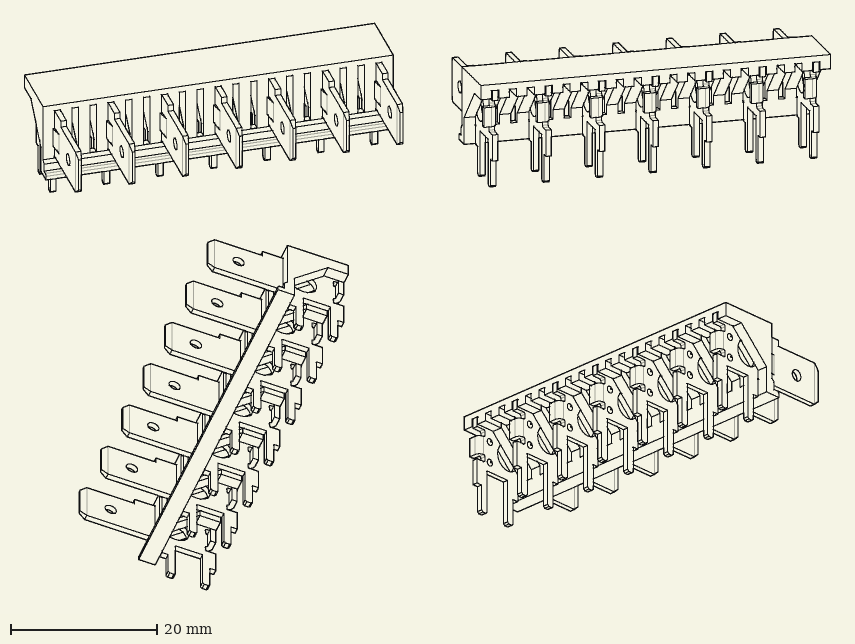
import cadquery as cq
import math


TERMINAL_COUNT = 7
SLOTS_PER_TERMINAL = 3
SLOT_PITCH = 2.55
TERMINAL_PITCH = SLOTS_PER_TERMINAL * SLOT_PITCH
SLOT_COUNT = SLOTS_PER_TERMINAL * (TERMINAL_COUNT - 1) + 1

HOUSING_LENGTH = 49.85
HOUSING_DEPTH = 9.0
TOP_Z = 15.0
HOUSING_BOTTOM_Z = 4.2
LIP_HEIGHT = 2.05
LIP_DEPTH = 3.05
WALL_INNER_X = 7.95
SLOPE_RUN = WALL_INNER_X - LIP_DEPTH

FOOT_CHAMFER = 0.45
FOOT_CHAMFER_TOP_Z = 6.65
FOOT_TIP_X = 10.4
FOOT_THICKNESS = 0.9
FOOT_RADIUS = 0.3

SLOT_WIDTH = 0.9
SLOT_TOP_Z = 14.1
SLOT_BOTTOM_Z = 6.7
SLOT_MOUTH_WIDTH = 1.05

PLATE_THICKNESS = 0.8
PLATE_BACK_Y = PLATE_THICKNESS / 2
PLATE_FRONT_Y = -PLATE_BACK_Y
PLATE_BOTTOM_Z = 4.05
WINDOW_DIAMETER = 4.0
WINDOW_X = 6.05

BLADE_END_X = 20.0
BLADE_CENTER_Z = 10.0
BLADE_WIDTH = 6.35
BLADE_TOP_Z = BLADE_CENTER_Z + BLADE_WIDTH / 2
BLADE_BOTTOM_Z = BLADE_CENTER_Z - BLADE_WIDTH / 2
SHOULDER_END_X = 12.0
TIP_LENGTH = 0.9
TIP_CORNER = 0.8
TIP_BEVEL = 0.2
BLADE_HOLE_DIAMETER = 1.65
BLADE_HOLE_X = 15.55

PIN_WIDTH = 1.1
PIN_START_XS = (0.9, 6.0)
CROTCH_Z = 6.6
PIN_CHAMFER = 0.25

NOTCH_DEPTH = 1.55
NOTCH_RADIUS = 0.25
NOTCH_HEIGHT = 1.05
TAB_BOTTOM_Z = 8.8
TAB_TOP_Z = 11.6
TAB_HEIGHT = TAB_TOP_Z - TAB_BOTTOM_Z
TAB_BEND_X = 1.25
TAB_REACH = 1.85

BUMP_X = 2.5
BUMP_ZS = (8.0, 11.15)
BUMP_RADIUS = 0.5
BUMP_CROWN_RADIUS = 0.1
BUMP_HEIGHT = 0.25

BARB_START_X = 9.15
BARB_END_X = 11.15
BARB_CENTER_Z = 10.0
BARB_START_WIDTH = 2.75
BARB_END_WIDTH = 3.05
BARB_HEIGHT = 0.3


def box_between(x0, x1, y0, y1, z0, z1):
    """Box given by its limits along each axis."""
    return cq.Workplane("XY").box(x1 - x0, y1 - y0, z1 - z0, centered=False).translate((x0, y0, z0))


def row_positions(count, pitch):
    """Y positions of a row centred on the origin."""
    return [(i - (count - 1) / 2) * pitch for i in range(count)]


def housing_body():
    """Angled bar with a lip, a 45 degree inner face, a wall and a foot."""
    lip_z = TOP_Z - LIP_HEIGHT
    foot_top_z = HOUSING_BOTTOM_Z + FOOT_THICKNESS
    step_x = HOUSING_DEPTH + FOOT_CHAMFER
    arc_offset = FOOT_RADIUS * (1 - math.sqrt(0.5))
    return (
        cq.Workplane("XZ")
        .moveTo(0, TOP_Z)
        .lineTo(HOUSING_DEPTH, TOP_Z)
        .lineTo(HOUSING_DEPTH, FOOT_CHAMFER_TOP_Z)
        .lineTo(step_x, FOOT_CHAMFER_TOP_Z - FOOT_CHAMFER)
        .lineTo(step_x, foot_top_z)
        .lineTo(FOOT_TIP_X - FOOT_RADIUS, foot_top_z)
        .threePointArc(
            (FOOT_TIP_X - arc_offset, foot_top_z - arc_offset),
            (FOOT_TIP_X, foot_top_z - FOOT_RADIUS),
        )
        .lineTo(FOOT_TIP_X, HOUSING_BOTTOM_Z)
        .lineTo(WALL_INNER_X, HOUSING_BOTTOM_Z)
        .lineTo(WALL_INNER_X, lip_z - SLOPE_RUN)
        .lineTo(LIP_DEPTH, lip_z)
        .lineTo(0, lip_z)
        .close()
        .extrude(HOUSING_LENGTH / 2, both=True)
    )


def slot_cutter():
    """Slot through the housing, a little wider where it crosses the lip."""
    half_slot = SLOT_WIDTH / 2
    half_mouth = SLOT_MOUTH_WIDTH / 2
    slot = box_between(0, HOUSING_DEPTH, -half_slot, half_slot, SLOT_BOTTOM_Z, SLOT_TOP_Z)
    mouth = box_between(0, LIP_DEPTH, -half_mouth, half_mouth, SLOT_BOTTOM_Z, SLOT_TOP_Z)
    return slot.union(mouth)


def make_housing():
    """Housing with its row of evenly spaced slots."""
    housing = housing_body()
    for y in row_positions(SLOT_COUNT, SLOT_PITCH):
        housing = housing.cut(slot_cutter().translate((0, y, 0)))
    return housing


def plate_body():
    """Flat plate and blade, with the window and the blade hole."""
    return (
        cq.Workplane("XZ")
        .polyline([
            (0, SLOT_TOP_Z),
            (SHOULDER_END_X, SLOT_TOP_Z),
            (SHOULDER_END_X, BLADE_TOP_Z),
            (BLADE_END_X - TIP_LENGTH, BLADE_TOP_Z),
            (BLADE_END_X, BLADE_TOP_Z - TIP_CORNER),
            (BLADE_END_X, BLADE_BOTTOM_Z + TIP_CORNER),
            (BLADE_END_X - TIP_LENGTH, BLADE_BOTTOM_Z),
            (WALL_INNER_X, BLADE_BOTTOM_Z),
            (WALL_INNER_X, PLATE_BOTTOM_Z),
            (0, PLATE_BOTTOM_Z),
        ])
        .close()
        .pushPoints([(WINDOW_X, BLADE_CENTER_Z)])
        .circle(WINDOW_DIAMETER / 2)
        .pushPoints([(BLADE_HOLE_X, BLADE_CENTER_Z)])
        .circle(BLADE_HOLE_DIAMETER / 2)
        .extrude(PLATE_BACK_Y, both=True)
    )


def tip_bevel_cutter(side):
    """Wedge thinning the blade tip on the face at the given side of Y."""
    return (
        cq.Workplane("XY")
        .polyline([
            (BLADE_END_X - TIP_LENGTH, side * PLATE_BACK_Y),
            (BLADE_END_X, side * PLATE_BACK_Y),
            (BLADE_END_X, side * (PLATE_BACK_Y - TIP_BEVEL)),
        ])
        .close()
        .extrude(TOP_Z)
    )


def leg_gap_cutter():
    """Opening between the two legs, up to the crotch."""
    first_start, second_start = PIN_START_XS
    return box_between(
        first_start + PIN_WIDTH, second_start, PLATE_FRONT_Y, PLATE_BACK_Y, PLATE_BOTTOM_Z, CROTCH_Z
    )


def solder_pin(start_x):
    """Pin below a leg, chamfered at both sides of its tip."""
    pin = box_between(start_x, start_x + PIN_WIDTH, PLATE_FRONT_Y, PLATE_BACK_Y, 0, PLATE_BOTTOM_Z)
    return pin.faces("<Z").edges("|Y").chamfer(PIN_CHAMFER)


def notch_cutter(bottom_z):
    """Notch in the open edge of the plate, rounded at its inner corners."""
    notch = box_between(0, NOTCH_DEPTH, PLATE_FRONT_Y, PLATE_BACK_Y, bottom_z, bottom_z + NOTCH_HEIGHT)
    return notch.faces(">X").edges("|Y").fillet(NOTCH_RADIUS)


def tab_space_cutter():
    """Removes the flat plate where the tab is bent away."""
    return box_between(0, TAB_BEND_X, PLATE_FRONT_Y, PLATE_BACK_Y, TAB_BOTTOM_Z, TAB_TOP_Z)


def bent_tab():
    """Tab turned through 90 degrees towards +Y, rounded outside the bend."""
    outer_x = TAB_BEND_X - PLATE_THICKNESS
    mid_offset = PLATE_THICKNESS * math.sqrt(0.5)
    return (
        cq.Workplane("XY")
        .moveTo(TAB_BEND_X, PLATE_FRONT_Y)
        .threePointArc((TAB_BEND_X - mid_offset, PLATE_BACK_Y - mid_offset), (outer_x, PLATE_BACK_Y))
        .lineTo(outer_x, PLATE_FRONT_Y + TAB_REACH)
        .lineTo(TAB_BEND_X, PLATE_FRONT_Y + TAB_REACH)
        .close()
        .extrude(TAB_HEIGHT)
        .translate((0, 0, TAB_BOTTOM_Z))
    )


def bump(z):
    """Low truncated cone standing on the -Y face of the plate."""
    base_center = cq.Vector(BUMP_X, PLATE_FRONT_Y, z)
    outward = cq.Vector(0, -1, 0)
    cone = cq.Solid.makeCone(BUMP_RADIUS, BUMP_CROWN_RADIUS, BUMP_HEIGHT, base_center, outward)
    return cq.Workplane(cone)


def locking_barb():
    """Wedge on the -Y face, highest next to the housing and widening as it fades out."""
    wedge = (
        cq.Workplane("XY")
        .polyline([
            (BARB_START_X, PLATE_FRONT_Y),
            (BARB_START_X, PLATE_FRONT_Y - BARB_HEIGHT),
            (BARB_END_X, PLATE_FRONT_Y),
        ])
        .close()
        .extrude(TOP_Z)
    )
    outline = (
        cq.Workplane("XZ")
        .polyline([
            (BARB_START_X, BARB_CENTER_Z - BARB_START_WIDTH / 2),
            (BARB_END_X, BARB_CENTER_Z - BARB_END_WIDTH / 2),
            (BARB_END_X, BARB_CENTER_Z + BARB_END_WIDTH / 2),
            (BARB_START_X, BARB_CENTER_Z + BARB_START_WIDTH / 2),
        ])
        .close()
        .extrude(PLATE_THICKNESS + BARB_HEIGHT)
    )
    return wedge.intersect(outline)


def make_terminal():
    """One terminal, with its plate centred on Y = 0."""
    terminal = plate_body().cut(leg_gap_cutter())
    for side in (-1, 1):
        terminal = terminal.cut(tip_bevel_cutter(side))
    for bottom_z in (TAB_BOTTOM_Z - NOTCH_HEIGHT, TAB_TOP_Z):
        terminal = terminal.cut(notch_cutter(bottom_z))
    terminal = terminal.cut(tab_space_cutter()).union(bent_tab())
    for start_x in PIN_START_XS:
        terminal = terminal.union(solder_pin(start_x))
    for z in BUMP_ZS:
        terminal = terminal.union(bump(z))
    return terminal.union(locking_barb())


housing = make_housing()
terminal = make_terminal()
terminals = [terminal.translate((0, y, 0)) for y in row_positions(TERMINAL_COUNT, TERMINAL_PITCH)]

result = cq.Compound.makeCompound([housing.solids().val(), *[body.solids().val() for body in terminals]])